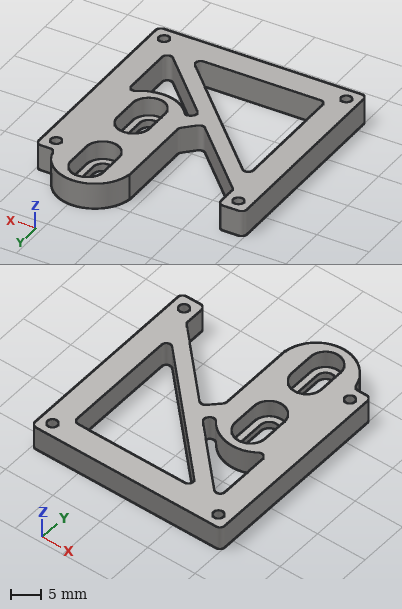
import cadquery as cq
import math

plate_side = 40.0
total_length = 46.25
thickness = 5.0
frame_width = 5.0
brace_width = 3.0
corner_radius = 1.0
window_radius = 0.95
hole_diameter = 2.0
hole_inset = 2.5

lug_x = 29.2
lug_radius = 7.25
slot_pitch = 15.0
slot_travel = 5.0
slot_width = 3.5
pocket_width = 6.25
pocket_depth = 3.5

upper_slot_y = total_length - lug_radius
lower_slot_y = upper_slot_y - slot_pitch
lug_left = lug_x - lug_radius
far_edge = plate_side - frame_width
brace_run = brace_width * math.sqrt(2)


def prism(points):
    """Extrude a closed polygon through the full thickness."""
    return cq.Workplane("XY").polyline(points).close().extrude(thickness)


def lug_disc(y):
    return cq.Workplane("XY").center(lug_x, y).circle(lug_radius).extrude(thickness)


def slot_cut(y, width, bottom, height):
    """Slot along Y with round ends and the common slot travel."""
    return (
        cq.Workplane("XY", origin=(lug_x, y, bottom))
        .slot2D(slot_travel + width, width, 90)
        .extrude(height)
    )


def fillet_vertical_edge(body, x, y, radius):
    return body.edges(cq.selectors.NearestToPointSelector((x, y, thickness / 2))).fillet(radius)


plate = cq.Workplane("XY").rect(plate_side, plate_side, centered=False).extrude(thickness)
plate = plate.edges("|Z").fillet(corner_radius)
body = plate.union(lug_disc(upper_slot_y))
lug_shoulder_x = lug_x + math.sqrt(lug_radius**2 - (plate_side - upper_slot_y) ** 2)
body = fillet_vertical_edge(body, lug_shoulder_x, plate_side, corner_radius)

notch_bottom_x = (plate_side + lug_left - lower_slot_y) / 2
notch_bottom_y = plate_side - notch_bottom_x
notch = prism([
    (frame_width, total_length),
    (frame_width, plate_side - frame_width),
    (notch_bottom_x, notch_bottom_y),
    (lug_left, lower_slot_y),
    (lug_left, upper_slot_y),
    (lug_left, total_length),
]).cut(lug_disc(upper_slot_y))
body = body.cut(notch)
for x, y in [
    (frame_width, plate_side),
    (notch_bottom_x, notch_bottom_y),
    (lug_left, lower_slot_y),
]:
    body = fillet_vertical_edge(body, x, y, corner_radius)

window_reach = plate_side - brace_run - frame_width
large_window = prism([
    (frame_width, frame_width),
    (window_reach, frame_width),
    (frame_width, window_reach),
]).edges("|Z").fillet(window_radius)
body = body.cut(large_window)

end_wall_offset = lug_left - lower_slot_y + brace_run
end_wall_x = (plate_side + end_wall_offset) / 2
small_window = prism([
    (far_edge, plate_side - far_edge),
    (far_edge, lower_slot_y),
    (lug_x, lower_slot_y),
    (lower_slot_y + end_wall_offset, lower_slot_y),
    (end_wall_x, plate_side - end_wall_x),
]).cut(lug_disc(lower_slot_y)).edges("|Z").fillet(window_radius)
body = body.cut(small_window)

for y in (upper_slot_y, lower_slot_y):
    body = body.cut(slot_cut(y, slot_width, 0, thickness))
    body = body.cut(slot_cut(y, pocket_width, thickness - pocket_depth, pocket_depth))

hole_positions = [
    (x, y)
    for x in (hole_inset, plate_side - hole_inset)
    for y in (hole_inset, plate_side - hole_inset)
]
holes = cq.Workplane("XY").pushPoints(hole_positions).circle(hole_diameter / 2).extrude(thickness)
result = body.cut(holes)